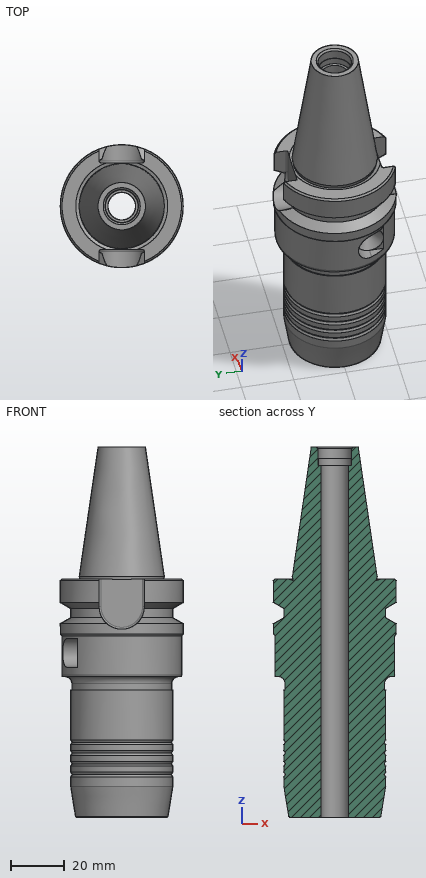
import cadquery as cq
import math

LENGTH = 138.4

TAPER_RADIUS = 15.9
TAPER_LENGTH = 48.5
TAPER_SLOPE = 7 / 48
TAPER_BASE = LENGTH - TAPER_LENGTH
TAPER_TIP_RADIUS = TAPER_RADIUS - TAPER_LENGTH * TAPER_SLOPE

UNDERCUT_RADIUS = 15.6
UNDERCUT_MOUTH_RADIUS = 17.2
UNDERCUT_DEPTH = 0.5

FLANGE_RADIUS = 23.0
FLANGE_TOP = 89.1
FLANGE_CHAMFER = 0.7
FLANGE_BOTTOM = 67.8
GROOVE_TOP = 80.3
GROOVE_BOTTOM = 72.4
GROOVE_RADIUS = 19.1
GROOVE_SLANT_ANGLE = 30
GROOVE_SLANT_HEIGHT = (FLANGE_RADIUS - GROOVE_RADIUS) * math.tan(math.radians(GROOVE_SLANT_ANGLE))

BODY_RADIUS = 22.4
BODY_BOTTOM = 52.6
BODY_EDGE_HEIGHT = 0.7
BODY_EDGE_INSET = 0.1
NECK_RADIUS = 18.7
NECK_FILLET = 2.6
BARREL_RADIUS = 19.1
BARREL_TOP = 47.6
NOSE_HEIGHT = 11.6
NOSE_RADIUS = 17.3
NOSE_CHAMFER = 0.4

RING_COUNT = 4
RING_LOWEST = 16.0
RING_PITCH = 4.0
RING_WIDTH = 1.8
RING_DEPTH = 0.5

BORE_RADIUS = 5.1
COUNTERBORE_RADIUS = 6.2
COUNTERBORE_DEPTH = 4.3
COUNTERBORE_CHAMFER = 0.7
THREAD_RADIUS = 6.1
THREAD_DEPTH = 6.9

OVERSHOOT = 1.4

SLOT_WIDTH = 16.9
SLOT_FLOOR = 16.2
SLOT_END = 70.3
SLOT_FLOOR_FILLET = 0.7

POCKET_RADIUS = 5.4
POCKET_Y = -9.7
POCKET_Z = 61.5
POCKET_FLOOR_X = -16.5
POCKET_TIP_ANGLE = 90


def turn(profile):
    """Revolve a closed half profile fully around the Z axis."""
    return profile.revolve(360, (0, 0, 0), (0, 1, 0))


def turned_body():
    """Solid of revolution: taper, flange, body, neck and barrel."""
    profile = (
        cq.Workplane("XZ")
        .moveTo(0, 0)
        .lineTo(NOSE_RADIUS - NOSE_CHAMFER, 0)
        .lineTo(NOSE_RADIUS, NOSE_CHAMFER)
        .lineTo(BARREL_RADIUS, NOSE_HEIGHT)
        .lineTo(BARREL_RADIUS, BARREL_TOP)
        .lineTo(NECK_RADIUS, BARREL_TOP)
        .lineTo(NECK_RADIUS, BODY_BOTTOM - NECK_FILLET)
        .radiusArc((NECK_RADIUS + NECK_FILLET, BODY_BOTTOM), NECK_FILLET)
        .lineTo(BODY_RADIUS - BODY_EDGE_INSET, BODY_BOTTOM)
        .lineTo(BODY_RADIUS, BODY_BOTTOM + BODY_EDGE_HEIGHT)
        .lineTo(BODY_RADIUS, FLANGE_BOTTOM)
        .lineTo(FLANGE_RADIUS, FLANGE_BOTTOM + FLANGE_CHAMFER)
        .lineTo(FLANGE_RADIUS, GROOVE_BOTTOM)
        .lineTo(GROOVE_RADIUS, GROOVE_BOTTOM + GROOVE_SLANT_HEIGHT)
        .lineTo(GROOVE_RADIUS, GROOVE_TOP - GROOVE_SLANT_HEIGHT)
        .lineTo(FLANGE_RADIUS, GROOVE_TOP)
        .lineTo(FLANGE_RADIUS, FLANGE_TOP - FLANGE_CHAMFER)
        .lineTo(FLANGE_RADIUS - FLANGE_CHAMFER, FLANGE_TOP)
        .lineTo(UNDERCUT_MOUTH_RADIUS, FLANGE_TOP)
        .lineTo(UNDERCUT_RADIUS, FLANGE_TOP - UNDERCUT_DEPTH)
        .lineTo(TAPER_RADIUS, TAPER_BASE)
        .lineTo(TAPER_TIP_RADIUS, LENGTH)
        .lineTo(0, LENGTH)
        .close()
    )
    return turn(profile)


def grip_ring(height):
    """V-shaped ring groove in the barrel, centred at the given height."""
    profile = (
        cq.Workplane("XZ")
        .moveTo(BARREL_RADIUS, height - RING_WIDTH / 2)
        .lineTo(BARREL_RADIUS - RING_DEPTH, height)
        .lineTo(BARREL_RADIUS, height + RING_WIDTH / 2)
        .close()
    )
    return turn(profile)


def bore():
    """Through bore stepped out to a thread hole and a chamfered counterbore at the taper tip."""
    mouth_radius = COUNTERBORE_RADIUS + COUNTERBORE_CHAMFER
    profile = (
        cq.Workplane("XZ")
        .moveTo(0, 0)
        .lineTo(BORE_RADIUS, 0)
        .lineTo(BORE_RADIUS, LENGTH - THREAD_DEPTH)
        .lineTo(THREAD_RADIUS, LENGTH - THREAD_DEPTH)
        .lineTo(THREAD_RADIUS, LENGTH - COUNTERBORE_DEPTH)
        .lineTo(COUNTERBORE_RADIUS, LENGTH - COUNTERBORE_DEPTH)
        .lineTo(COUNTERBORE_RADIUS, LENGTH - COUNTERBORE_CHAMFER)
        .lineTo(mouth_radius, LENGTH)
        .lineTo(0, LENGTH)
        .close()
    )
    return turn(profile)


def drive_slot():
    """Round-ended drive slot on the -Y side, with a filleted floor edge."""
    half_width = SLOT_WIDTH / 2
    slot_top = FLANGE_TOP + OVERSHOOT
    arc_centre = SLOT_END + half_width
    return (
        cq.Workplane("XZ", origin=(0, -SLOT_FLOOR, 0))
        .moveTo(-half_width, slot_top)
        .lineTo(-half_width, arc_centre)
        .threePointArc((0, SLOT_END), (half_width, arc_centre))
        .lineTo(half_width, slot_top)
        .close()
        .extrude(FLANGE_RADIUS - SLOT_FLOOR + OVERSHOOT)
        .edges(">Y and (not >Z)")
        .fillet(SLOT_FLOOR_FILLET)
    )


def side_pocket():
    """Drilled pocket with a conical floor, squared off towards -Y."""
    depth = FLANGE_RADIUS + POCKET_FLOOR_X
    tip_depth = POCKET_RADIUS / math.tan(math.radians(POCKET_TIP_ANGLE / 2))
    floor_centre = (POCKET_FLOOR_X, POCKET_Y, POCKET_Z)
    drill = cq.Workplane("YZ", origin=floor_centre).circle(POCKET_RADIUS).extrude(-depth)
    inward = cq.Vector(1, 0, 0)
    tip = cq.Solid.makeCone(POCKET_RADIUS, 0, tip_depth, cq.Vector(*floor_centre), inward)
    square = (
        cq.Workplane("YZ", origin=floor_centre)
        .center(-POCKET_RADIUS / 2, 0)
        .rect(POCKET_RADIUS, 2 * POCKET_RADIUS)
        .extrude(-depth)
    )
    return drill.union(square).union(cq.Workplane(tip))


result = turned_body()
for index in range(RING_COUNT):
    result = result.cut(grip_ring(RING_LOWEST + index * RING_PITCH))
result = result.cut(bore())
for angle in (0, 180):
    result = result.cut(drive_slot().rotate((0, 0, 0), (0, 0, 1), angle))
result = result.cut(side_pocket())